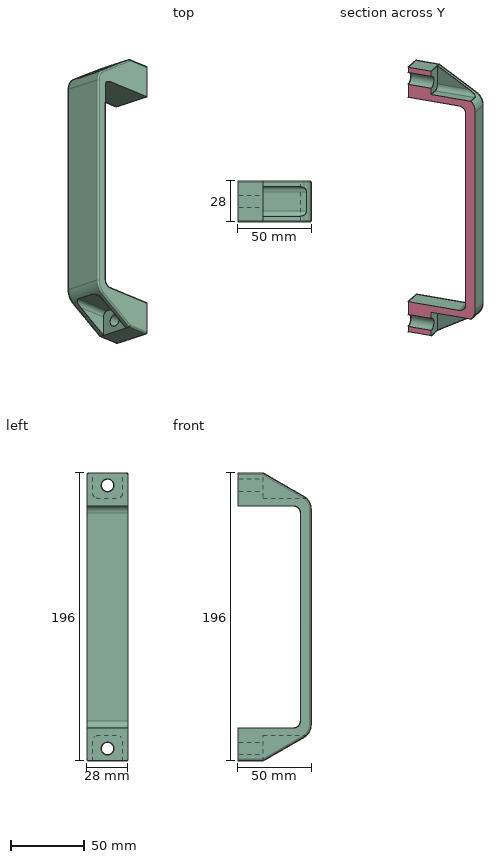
import cadquery as cq
import math

standoff = 50.0
width = 28.0
length = 196.0

foot_height = 22.5
foot_flat = 17.2
slope_angle = 30.0
grip_thickness = 7.5
outer_bend_radius = 10.0
inner_bend_radius = 4.7
edge_radius = 1.2

hole_diameter = 8.5
hole_end_distance = 8.5
pocket_depth = 17.2
pocket_width = 20.5
pocket_floor_radius = 3.7

half_length = length / 2
inner_half_length = half_length - foot_height
grip_inner_x = standoff - grip_thickness
slope_drop = (standoff - foot_flat) * math.tan(math.radians(slope_angle))
shoulder_z = half_length - slope_drop


def is_outer_edge(edge):
    """True for edges on the outer side of the feet, slopes, bends and grip."""
    center = edge.Center()
    on_foot_or_slope = abs(center.z) > half_length - foot_height / 2 and center.x > edge_radius
    on_bend_or_grip = center.x > grip_inner_x + grip_thickness / 2
    return on_foot_or_slope or on_bend_or_grip


def make_handle():
    """Bent bar with two feet, rounded along its outer long edges."""
    outline = [
        (0, half_length),
        (foot_flat, half_length),
        (standoff, shoulder_z),
        (standoff, -shoulder_z),
        (foot_flat, -half_length),
        (0, -half_length),
        (0, -inner_half_length),
        (grip_inner_x, -inner_half_length),
        (grip_inner_x, inner_half_length),
        (0, inner_half_length),
    ]
    body = cq.Workplane("XZ").polyline(outline).close().extrude(width / 2, both=True)
    body = body.edges("|Y and >X").fillet(outer_bend_radius)
    for corner_z in (inner_half_length, -inner_half_length):
        corner = cq.selectors.NearestToPointSelector((grip_inner_x, 0, corner_z))
        body = body.edges(corner).fillet(inner_bend_radius)

    outer_edges = body.faces(">Y or <Y").edges().filter(is_outer_edge)
    return outer_edges.fillet(edge_radius)


def make_pocket():
    """Round-bottomed channel cut down into the upper sloped end."""
    floor_z = half_length - pocket_depth
    block = cq.Workplane("XY").box(
        standoff, pocket_width, 2 * pocket_depth, centered=(False, True, False)
    )
    block = block.edges("|X and <Z").fillet(pocket_floor_radius)
    return block.translate((foot_flat, 0, floor_z))


def make_hole():
    """Screw hole through the upper foot."""
    return (
        cq.Workplane("YZ")
        .center(0, half_length - hole_end_distance)
        .circle(hole_diameter / 2)
        .extrude(standoff)
    )


result = make_handle()
for cutter in (make_pocket(), make_hole()):
    result = result.cut(cutter).cut(cutter.mirror("XY"))